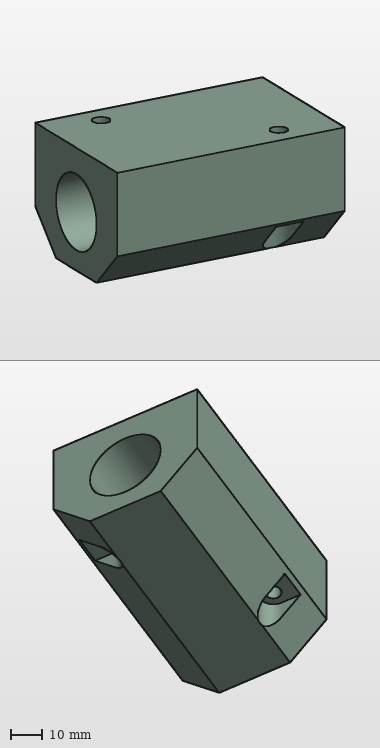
import cadquery as cq

width = 53.0
length = 84.0
height = 42.0
lower_chamfer = 13.4

bore_diameter = 26.0
bore_depth_from_top = 22.0

screw_offset_x = 18.0
screw_offset_y = 22.5
clearance_diameter = 6.0
core_diameter = 5.2
head_diameter = 10.2
head_seat_height = 12.0
clearance_depth = 15.1


def vertical_cylinder(x, y, diameter, bottom, top):
    """Cylinder parallel to Z between two heights."""
    return cq.Workplane("XY", origin=(x, y, bottom)).circle(diameter / 2).extrude(top - bottom)


def screw_hole(side):
    """Core hole widened at the top, with a round-ended head slot open towards the given side."""
    x = side * screw_offset_x
    y = side * screw_offset_y
    core = vertical_cylinder(x, y, core_diameter, 0, height)
    clearance = vertical_cylinder(x, y, clearance_diameter, height - clearance_depth, height)
    head = vertical_cylinder(x, y, head_diameter, 0, head_seat_height)
    slot_run = width / 2 - screw_offset_x
    slot = (
        cq.Workplane("XY", origin=(x + side * slot_run / 2, y, 0))
        .box(slot_run, head_diameter, head_seat_height, centered=(True, True, False))
    )
    return core.union(clearance).union(head).union(slot)


block = (
    cq.Workplane("XY")
    .box(width, length, height, centered=(True, True, False))
    .edges("|Y and <Z")
    .chamfer(lower_chamfer)
)

bore_height = height - bore_depth_from_top
bore = (
    cq.Workplane("XZ", origin=(0, length / 2, bore_height))
    .circle(bore_diameter / 2)
    .extrude(length)
)
result = block.cut(bore)

for side in (-1, 1):
    result = result.cut(screw_hole(side))